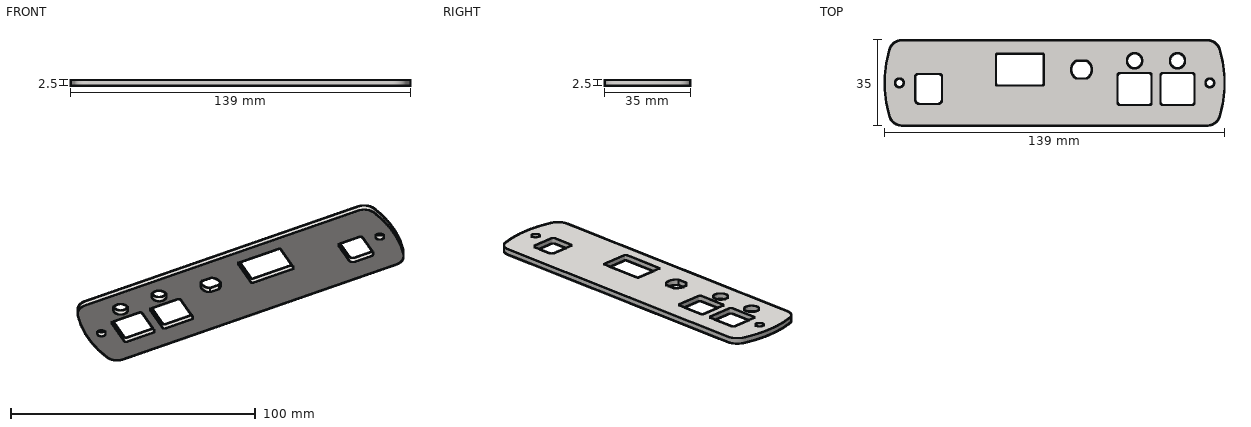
import cadquery as cq

length = 139.0
width = 35.0
thickness = 2.5
end_radius = 47.3
corner_radius = 5.5

screw_hole_diameter = 3.5
screw_hole_x = 63.4

small_window_x = -51.4
small_window_length = 10.8
small_window_width = 12.1
small_window_upper_radius = 1.0
small_window_lower_radius = 1.7

wide_window_x = -14.2
wide_window_length = 19.3
wide_window_width = 12.9
wide_window_radius = 0.4

upper_row_y = 5.4
flatted_hole_x = 11.0
flatted_hole_diameter = 8.3
flatted_hole_width = 7.2

lower_row_y = -2.5
port_positions_x = (32.7, 50.2)
port_length = 13.8
port_width = 12.9
port_radius = 0.8
round_hole_y = 9.0
round_hole_diameter = 6.1


def make_plate():
    """Strip with bowed ends and rounded corners, resting on Z = 0."""
    half_length = length / 2
    half_width = width / 2
    end_sagitta = end_radius - (end_radius**2 - half_width**2) ** 0.5
    corner_x = half_length - end_sagitta
    return (
        cq.Workplane("XY")
        .moveTo(-corner_x, -half_width)
        .lineTo(corner_x, -half_width)
        .threePointArc((half_length, 0), (corner_x, half_width))
        .lineTo(-corner_x, half_width)
        .threePointArc((-half_length, 0), (-corner_x, -half_width))
        .close()
        .extrude(thickness)
        .edges("|Z")
        .fillet(corner_radius)
    )


def make_window(x, y, window_length, window_width, upper_radius, lower_radius):
    """Cutter for a rectangular opening with rounded corners."""
    cutter = cq.Workplane("XY").rect(window_length, window_width).extrude(thickness)
    cutter = cutter.edges("|Z and >Y").fillet(upper_radius)
    cutter = cutter.edges("|Z and <Y").fillet(lower_radius)
    return cutter.translate((x, y, 0))


def make_hole(x, y, diameter):
    """Cutter for a round through hole."""
    return cq.Workplane("XY").center(x, y).circle(diameter / 2).extrude(thickness)


def make_flatted_hole(x, y, diameter, width_across_flats):
    """Cutter for a round hole with flats facing +Y and -Y."""
    flats = cq.Workplane("XY").center(x, y).rect(diameter, width_across_flats).extrude(thickness)
    return make_hole(x, y, diameter).intersect(flats)


result = make_plate()

for side in (-1, 1):
    result = result.cut(make_hole(side * screw_hole_x, 0, screw_hole_diameter))

result = result.cut(
    make_window(
        small_window_x,
        lower_row_y,
        small_window_length,
        small_window_width,
        small_window_upper_radius,
        small_window_lower_radius,
    )
)
result = result.cut(
    make_window(
        wide_window_x,
        upper_row_y,
        wide_window_length,
        wide_window_width,
        wide_window_radius,
        wide_window_radius,
    )
)
result = result.cut(
    make_flatted_hole(flatted_hole_x, upper_row_y, flatted_hole_diameter, flatted_hole_width)
)

for port_x in port_positions_x:
    result = result.cut(
        make_window(port_x, lower_row_y, port_length, port_width, port_radius, port_radius)
    )
    result = result.cut(make_hole(port_x, round_hole_y, round_hole_diameter))